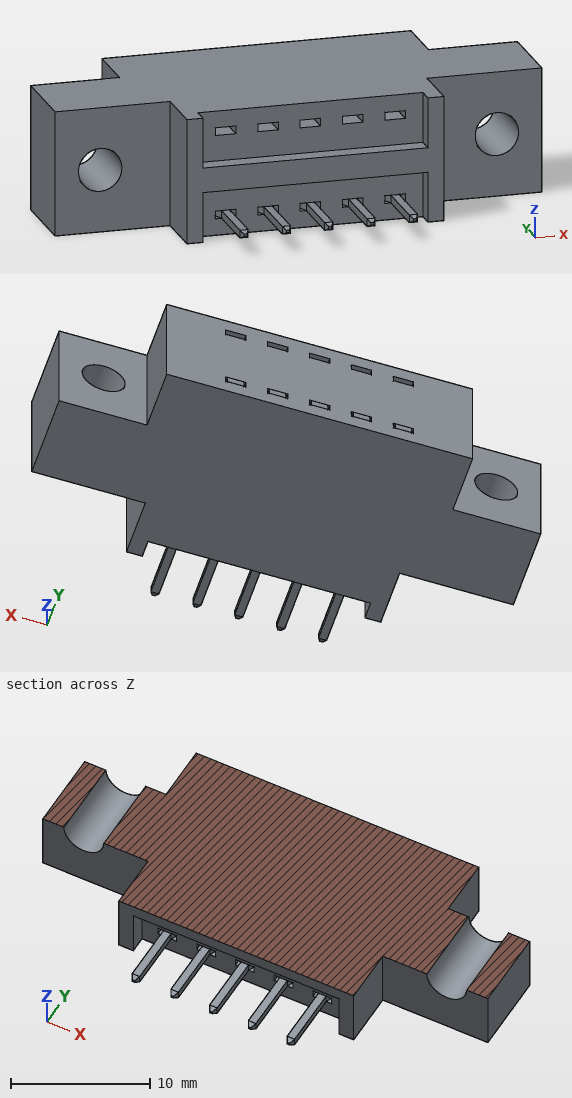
import cadquery as cq

length = 36.45
height = 9.4
back_width = 23.15
neck_width = 19.25
flange_back = -4.55
flange_front = -10.9
housing_front = -15.27

mount_hole_diameter = 3.25
mount_hole_spacing = 29.7

recess_width = 16.85
recess_depth = 1.3
rib_height = 1.85
recess_height = (height - rib_height) / 2
recess_floor = housing_front + recess_depth

contact_count = 5
contact_pitch = 3.17
row_spacing = 6.3
slot_width = 1.53
contact_thickness = 0.6
lower_row_z = (height - row_spacing) / 2
upper_row_z = lower_row_z + row_spacing

pin_end = -19.05
pin_width = 0.62
blade_width = 1.25
shoulder_length = 0.75
tip_length = 0.35
tip_inset = 0.2

contact_xs = [(i - (contact_count - 1) / 2) * contact_pitch for i in range(contact_count)]


def block(width, y_front, y_back, z_bottom, z_top, x_center=0.0):
    """Box centred on x_center, spanning the given Y and Z ranges."""
    size = (width, y_back - y_front, z_top - z_bottom)
    return cq.Workplane().box(*size, centered=(True, False, False)).translate((x_center, y_front, z_bottom))


def make_housing():
    body = block(back_width, flange_front, 0, 0, height)
    body = body.union(block(length, flange_front, flange_back, 0, height))
    body = body.union(block(neck_width, housing_front, flange_front, 0, height))

    for x in (-mount_hole_spacing / 2, mount_hole_spacing / 2):
        hole = (
            cq.Workplane("XZ")
            .center(x, height / 2)
            .circle(mount_hole_diameter / 2)
            .extrude(-flange_front)
        )
        body = body.cut(hole)

    for z_bottom in (0, height - recess_height):
        body = body.cut(block(recess_width, housing_front, recess_floor, z_bottom, z_bottom + recess_height))

    for z in (lower_row_z, upper_row_z):
        for x in contact_xs:
            z_bottom = z - contact_thickness / 2
            body = body.cut(block(slot_width, recess_floor, 0, z_bottom, z_bottom + contact_thickness, x))
    return body


def make_pin(x):
    """Flat contact: wide blade in the slot, sloped shoulders, narrow tail and a tapered tip."""
    tip_base = pin_end + tip_length
    blade_front = recess_floor + shoulder_length
    half_profile = [
        (pin_width / 2, tip_base),
        (pin_width / 2, recess_floor),
        (blade_width / 2, blade_front),
        (blade_width / 2, 0),
    ]
    profile = half_profile + [(-px, py) for px, py in reversed(half_profile)]
    z_bottom = lower_row_z - contact_thickness / 2
    pin = cq.Workplane(origin=(x, 0, z_bottom)).polyline(profile).close().extrude(contact_thickness)
    tip = (
        cq.Workplane("XZ", origin=(x, tip_base, lower_row_z))
        .rect(pin_width, contact_thickness)
        .workplane(offset=tip_length)
        .rect(pin_width - 2 * tip_inset, contact_thickness - 2 * tip_inset)
        .loft(ruled=True)
    )
    return pin.union(tip)


housing = make_housing()
pins = [make_pin(x) for x in contact_xs]

result = cq.Compound.makeCompound([housing.val(), *[pin.val() for pin in pins]])